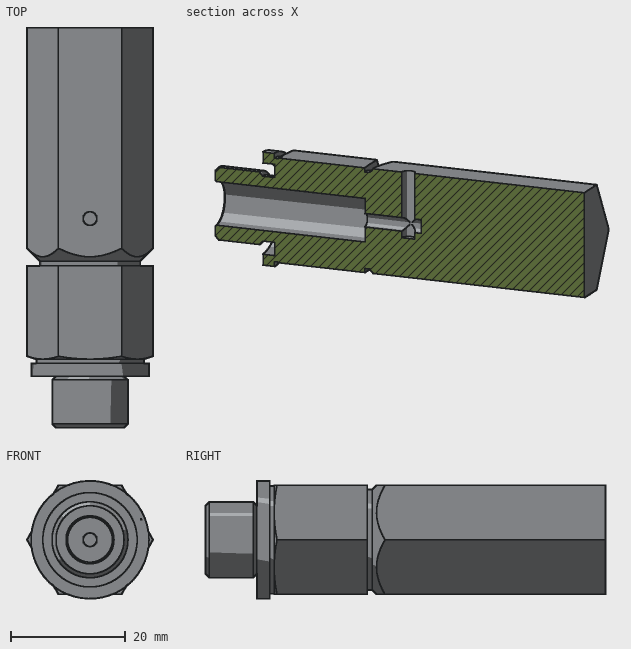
import cadquery as cq
import math

total_length = 69.9
thread_end = 8.4
washer_start = 9.0
washer_end = 11.25
nut_start = 12.0
nut_end = 28.3
body_start = 29.15
cross_hole_y = 36.55

across_flats = 19.1
across_corners = across_flats / math.cos(math.radians(30))
flat_radius = across_flats / 2
corner_radius = across_corners / 2
washer_diameter = 20.6
washer_radius = washer_diameter / 2
collar_radius = 9.4
neck_radius = 8.8
thread_radius = 6.65
undercut_radius = 5.95
thread_chamfer = thread_radius - undercut_radius
nut_chamfer_length = 0.5
recess_radius = 8.25

bore_radius = 3.9
bore_chamfer = 0.3
bore_depth = nut_end
small_hole_radius = 1.2
hole_overrun = 2 * small_hole_radius


def cylinder(radius, start, end):
    """Cylinder about the Y axis between two stations."""
    plane = cq.Plane(origin=(0, start, 0), xDir=(1, 0, 0), normal=(0, 1, 0))
    return cq.Workplane(plane).circle(radius).extrude(end - start)


def hexagon(start, end):
    """Hexagonal bar along Y with corners on the X axis."""
    plane = cq.Plane(origin=(0, start, 0), xDir=(1, 0, 0), normal=(0, 1, 0))
    return cq.Workplane(plane).polygon(6, across_corners).extrude(end - start)


def revolved(points):
    """Closed (radius, Y) profile turned about the Y axis."""
    return cq.Workplane("XY").polyline(points).close().revolve(360, (0, 0, 0), (0, 1, 0))


def chamfered_hexagon(start, end, start_radius, chamfer_length):
    """Hexagonal bar whose starting corners are turned down to a cone."""
    envelope = revolved([
        (0, start),
        (start_radius, start),
        (corner_radius, start + chamfer_length),
        (corner_radius, end),
        (0, end),
    ])
    return hexagon(start, end).intersect(envelope)


spigot = revolved([
    (0, 0),
    (thread_radius - thread_chamfer, 0),
    (thread_radius, thread_chamfer),
    (thread_radius, thread_end),
    (undercut_radius, washer_start),
    (undercut_radius, washer_end),
    (0, washer_end),
])

washer = cylinder(washer_radius, washer_start, washer_end)
washer = washer.cut(cylinder(recess_radius, washer_start, washer_end))
collar = cylinder(collar_radius, washer_end, nut_start)

nut = chamfered_hexagon(nut_start, nut_end, flat_radius, nut_chamfer_length)
neck = cylinder(neck_radius, nut_end, body_start)
body = chamfered_hexagon(body_start, total_length, neck_radius, corner_radius - neck_radius)

bore = revolved([
    (0, 0),
    (bore_radius + bore_chamfer, 0),
    (bore_radius, bore_chamfer),
    (bore_radius, bore_depth),
    (0, bore_depth),
])
small_hole = cylinder(small_hole_radius, bore_depth, cross_hole_y + hole_overrun)
cross_hole = (
    cq.Workplane("XY", origin=(0, 0, -hole_overrun))
    .center(0, cross_hole_y)
    .circle(small_hole_radius)
    .extrude(flat_radius + hole_overrun)
)

solid_parts = spigot.union(washer).union(collar).union(nut).union(neck).union(body)
result = solid_parts.cut(bore).cut(small_hole).cut(cross_hole)